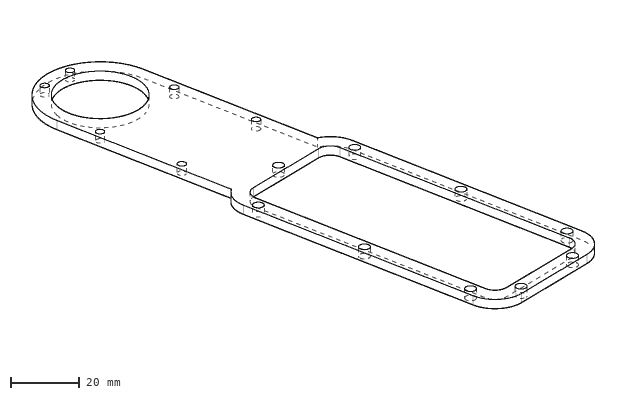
import cadquery as cq

thickness = 3.1
tilt = -24.0

arm_radius = 20.0
bore_radius = 14.4
arm_hole_diameter = 2.8
arm_hole_first = 14.0
arm_hole_pitch = 31.0
arm_hole_offset = 17.3
ring_hole_x = -16.2
ring_hole_offset = 5.9

frame_center_x = 118.1
frame_length = 107.0
frame_width = 50.6
frame_wall = 5.7
frame_corner = 10.1
frame_hole_diameter = 3.5
side_hole_pitch = 40.1
end_hole_offset = 12.0

opening_length = frame_length - 2 * frame_wall
opening_width = frame_width - 2 * frame_wall
opening_corner = frame_corner - frame_wall
arm_end = frame_center_x - opening_length / 2


def rounded_block(length, width, corner):
    """Block with rounded corners, centred on the frame."""
    return (
        cq.Workplane("XY")
        .center(frame_center_x, 0)
        .rect(length, width)
        .extrude(thickness)
        .edges("|Z")
        .fillet(corner)
    )


def pins(points, diameter):
    """Cylinders that cut through holes at the given points."""
    return cq.Workplane("XY").pushPoints(points).circle(diameter / 2).extrude(thickness)


arm = (
    cq.Workplane("XY")
    .moveTo(0, arm_radius)
    .lineTo(arm_end, arm_radius)
    .lineTo(arm_end, -arm_radius)
    .lineTo(0, -arm_radius)
    .threePointArc((-arm_radius, 0), (0, arm_radius))
    .close()
    .extrude(thickness)
)
plate = arm.union(rounded_block(frame_length, frame_width, frame_corner))

plate = plate.cut(rounded_block(opening_length, opening_width, opening_corner))
plate = plate.cut(pins([(0, 0)], 2 * bore_radius))

arm_holes = []
for side in (-1, 1):
    arm_holes.append((ring_hole_x, side * ring_hole_offset))
    for index in range(2):
        arm_holes.append((arm_hole_first + index * arm_hole_pitch, side * arm_hole_offset))
plate = plate.cut(pins(arm_holes, arm_hole_diameter))

wall_middle_x = (frame_length - frame_wall) / 2
wall_middle_y = (frame_width - frame_wall) / 2
frame_holes = [(frame_center_x - wall_middle_x, 0)]
for side in (-1, 1):
    frame_holes.append((frame_center_x + wall_middle_x, side * end_hole_offset))
    for step in (-1, 0, 1):
        frame_holes.append((frame_center_x + step * side_hole_pitch, side * wall_middle_y))
plate = plate.cut(pins(frame_holes, frame_hole_diameter))

result = plate.rotate((0, 0, 0), (0, 0, 1), tilt)